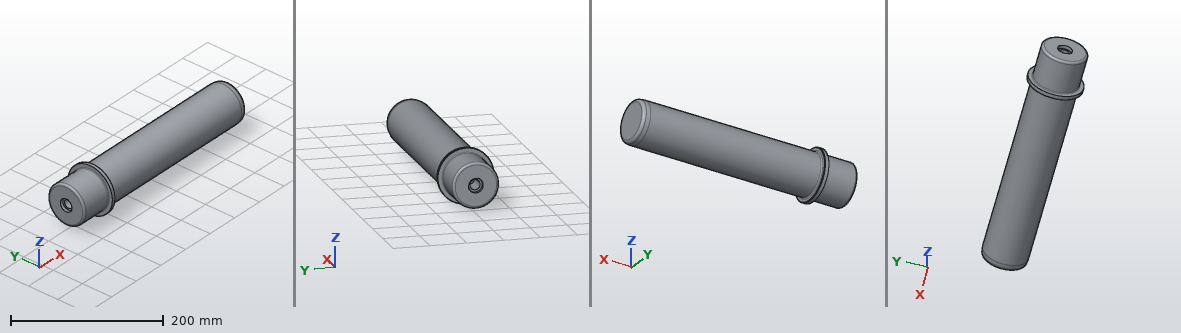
import cadquery as cq

length = 329.0
body_radius = 31.42
flange_radius = 38.0

flange_start = 48.7
flange_end = 55.0
flange_chamfer = 1.0
front_root_fillet = 1.0
rear_root_fillet = 1.5

front_end_fillet = 3.3
rear_end_fillet = 4.5
rear_taper_length = 10.2
rear_taper_drop = 1.3

bore_radius = 7.0
bore_depth = 33.0
drill_point_depth = 4.0
counterbore_radius = 10.0
counterbore_depth = 5.0

front_face = -length / 2
rear_face = length / 2


def make_body():
    """Revolve a plain pin whose +X end tapers slightly before its rounding."""
    taper_start = rear_face - rear_taper_length
    tip_radius = body_radius - rear_taper_drop
    profile = (
        cq.Workplane("XY")
        .moveTo(front_face, 0)
        .lineTo(front_face, body_radius)
        .lineTo(taper_start, body_radius)
        .lineTo(rear_face, tip_radius)
        .lineTo(rear_face, 0)
        .close()
    )
    body = profile.revolve(360, (0, 0, 0), (1, 0, 0))
    body = body.faces("<X").edges().fillet(front_end_fillet)
    return body.faces(">X").edges().fillet(rear_end_fillet)


def make_flange():
    """Revolve the flange with its rim chamfer and both concave root fillets."""
    start = front_face + flange_start
    end = front_face + flange_end
    front_root = body_radius + front_root_fillet
    rear_root = body_radius + rear_root_fillet
    profile = (
        cq.Workplane("XY")
        .moveTo(start - front_root_fillet, 0)
        .lineTo(start - front_root_fillet, body_radius)
        .radiusArc((start, front_root), -front_root_fillet)
        .lineTo(start, flange_radius)
        .lineTo(end - flange_chamfer, flange_radius)
        .lineTo(end, flange_radius - flange_chamfer)
        .lineTo(end, rear_root)
        .radiusArc((end + rear_root_fillet, body_radius), -rear_root_fillet)
        .lineTo(end + rear_root_fillet, 0)
        .close()
    )
    return profile.revolve(360, (0, 0, 0), (1, 0, 0))


def make_hole():
    """Revolve the counterbored hole with a conical drill point."""
    bore_end = front_face + bore_depth
    ledge = front_face + counterbore_depth
    profile = (
        cq.Workplane("XY")
        .moveTo(front_face, 0)
        .lineTo(front_face, counterbore_radius)
        .lineTo(ledge, counterbore_radius)
        .lineTo(ledge, bore_radius)
        .lineTo(bore_end, bore_radius)
        .lineTo(bore_end + drill_point_depth, 0)
        .close()
    )
    return profile.revolve(360, (0, 0, 0), (1, 0, 0))


result = make_body().union(make_flange()).cut(make_hole())